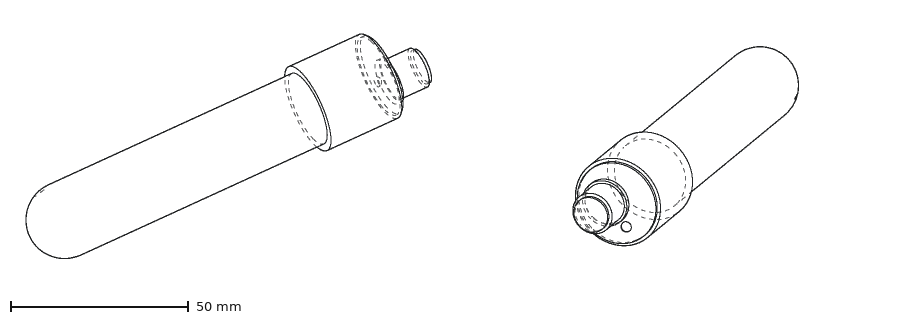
import cadquery as cq

overall_length = 125.42

tube_diameter = 21.8
tube_radius = tube_diameter / 2

collar_diameter = 26.0
collar_length = 23.0
shoulder_diameter = 24.0
shoulder_length = 1.0

connector_offset_x = 3.0
flange_diameter = 13.5
flange_length = 1.5
stem_diameter = 12.0
stem_length = 10.0
pilot_diameter = 10.3
pilot_length = 0.9
cone_length = 0.3

indicator_diameter = 3.0
indicator_x = -3.0
indicator_z = -6.6

stem_end_y = overall_length - tube_radius
flange_end_y = stem_end_y - stem_length
shoulder_end_y = flange_end_y - flange_length
collar_end_y = shoulder_end_y - shoulder_length
collar_start_y = collar_end_y - collar_length


def rod(diameter, start_y, end_y, x=0.0, z=0.0):
    """Cylinder parallel to Y between two stations."""
    base = cq.Workplane(cq.Plane(origin=(x, start_y, z), xDir=(1, 0, 0), normal=(0, 1, 0)))
    return base.circle(diameter / 2).extrude(end_y - start_y)


def make_tube():
    barrel = rod(tube_diameter, 0, collar_end_y)
    return barrel.union(cq.Workplane("XY").sphere(tube_radius))


def make_collar():
    collar = rod(collar_diameter, collar_start_y, collar_end_y)
    return collar.union(rod(shoulder_diameter, collar_end_y, shoulder_end_y))


def make_connector():
    flange = rod(flange_diameter, shoulder_end_y, flange_end_y, connector_offset_x)
    pilot_start_y = stem_end_y - pilot_length
    cone_start_y = pilot_start_y - cone_length
    stem_radius = stem_diameter / 2
    pilot_radius = pilot_diameter / 2
    half_profile = (
        cq.Workplane("XY")
        .moveTo(0, flange_end_y)
        .lineTo(stem_radius, flange_end_y)
        .lineTo(stem_radius, cone_start_y)
        .lineTo(pilot_radius, pilot_start_y)
        .lineTo(pilot_radius, stem_end_y)
        .lineTo(0, stem_end_y)
        .close()
    )
    stem = half_profile.revolve(360, (0, 0, 0), (0, 1, 0))
    return flange.union(stem.translate((connector_offset_x, 0, 0)))


def make_indicator():
    head = cq.Workplane("XY").sphere(indicator_diameter / 2)
    return head.translate((indicator_x, shoulder_end_y, indicator_z))


result = make_tube().union(make_collar()).union(make_connector()).union(make_indicator())